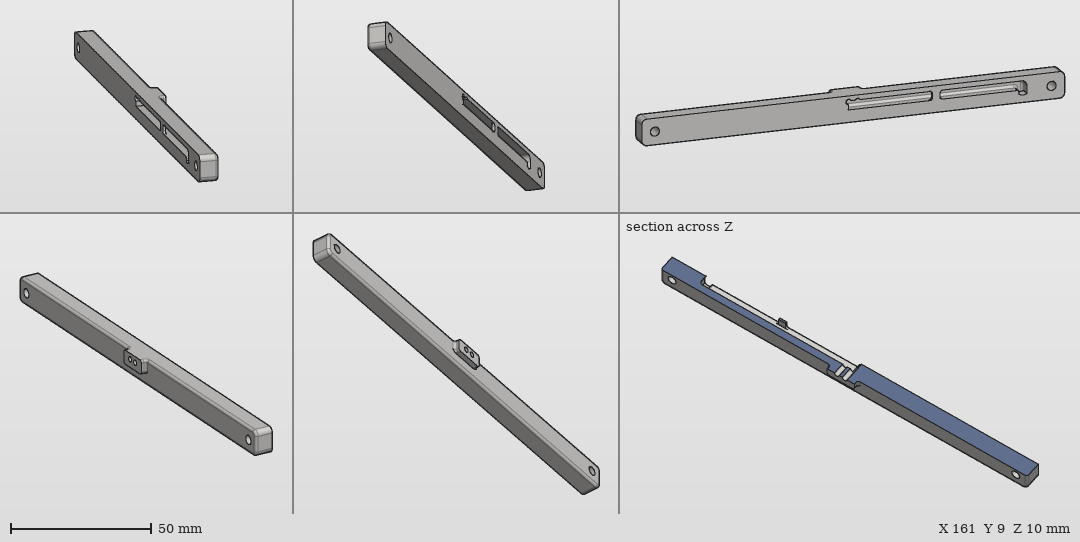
import cadquery as cq

BAR_LENGTH = 161.0
BAR_HEIGHT = 10.0
BAR_DEPTH = 7.0
CORNER_RADIUS = 2.0
BACK_FILLET = 1.0

TAB_WIDTH = 12.0
TAB_HEIGHT = 5.5
TAB_REACH = 2.0
TAB_ROOT_RADIUS = 1.0

SCREW_HOLE_DIAMETER = 3.4
SCREW_HOLE_INSET = 5.0

WIRE_HOLE_DIAMETER = 2.0
WIRE_HOLE_SPACING = 3.4
WIRE_HOLE_Z = 2.65

CHANNEL_WIDTH = 3.4
CHANNEL_DEPTH = 4.0
CHANNEL_Z = 1.45
CHANNEL_START_X = -1.8
CHANNEL_END_X = 66.1
OUTER_BEND_RADIUS = 2.0
INNER_BEND_RADIUS = 0.6
CHANNEL_FLOOR_FILLET = 1.0
LEG_WIDTH = 3.0
LEG_BOTTOM_Z = -2.2
LEG_END_BULGE = 0.5

STRAP_CENTER_X = 31.6
STRAP_WIDTH = 3.0
STRAP_DEPTH = 1.0
STRAP_CORNER_RADIUS = 0.9

PICK_MARGIN = 0.1

FRONT_Y = -(BAR_DEPTH + TAB_REACH) / 2
BACK_Y = FRONT_Y + BAR_DEPTH
TAB_Y = BACK_Y + TAB_REACH
TOP_Z = BAR_HEIGHT / 2
CHANNEL_TOP_Z = CHANNEL_Z + CHANNEL_WIDTH / 2
CHANNEL_BOTTOM_Z = CHANNEL_Z - CHANNEL_WIDTH / 2


def front_plane():
    """Workplane on the front face, with X to the right and Z up."""
    return cq.Workplane("XZ", origin=(0, FRONT_Y, 0))


def extrude_back(sketch, depth):
    """Extrude a sketch on the front face toward +Y."""
    return sketch.extrude(-depth)


def make_bar():
    """Bar with rounded ends and a filleted back outline."""
    bar = extrude_back(front_plane().rect(BAR_LENGTH, BAR_HEIGHT), BAR_DEPTH)
    bar = bar.edges("|Y").fillet(CORNER_RADIUS)
    return bar.faces(">Y").edges().fillet(BACK_FILLET)


def make_tab():
    """Tab with flared roots; its sides and roots are filleted above and below."""
    half_tab = TAB_WIDTH / 2
    half_flare = half_tab + TAB_ROOT_RADIUS
    half_base = half_flare + TAB_ROOT_RADIUS
    inner_y = FRONT_Y + CHANNEL_DEPTH
    root_y = BACK_Y + TAB_ROOT_RADIUS
    tab = (
        cq.Workplane("XY", origin=(0, 0, TOP_Z - TAB_HEIGHT))
        .moveTo(-half_base, inner_y)
        .lineTo(-half_base, BACK_Y)
        .lineTo(-half_flare, BACK_Y)
        .radiusArc((-half_tab, root_y), -TAB_ROOT_RADIUS)
        .lineTo(-half_tab, TAB_Y)
        .lineTo(half_tab, TAB_Y)
        .lineTo(half_tab, root_y)
        .radiusArc((half_flare, BACK_Y), -TAB_ROOT_RADIUS)
        .lineTo(half_base, BACK_Y)
        .lineTo(half_base, inner_y)
        .close()
        .extrude(TAB_HEIGHT)
    )
    inner_x = half_tab - PICK_MARGIN
    y_range = (BACK_Y - PICK_MARGIN, TAB_Y - PICK_MARGIN)
    left = cq.selectors.BoxSelector((-half_base, y_range[0], -TOP_Z), (-inner_x, y_range[1], BAR_HEIGHT))
    right = cq.selectors.BoxSelector((inner_x, y_range[0], -TOP_Z), (half_base, y_range[1], BAR_HEIGHT))
    return tab.faces("<Z or >Z").edges(left + right).fillet(BACK_FILLET)


def channel_cutter():
    """Channel with filleted floor edges, except at its two ends."""
    leg_x = CHANNEL_END_X - LEG_WIDTH
    leg_end_z = LEG_BOTTOM_Z + LEG_END_BULGE
    outline = (
        front_plane()
        .moveTo(CHANNEL_START_X, CHANNEL_TOP_Z)
        .lineTo(CHANNEL_END_X - OUTER_BEND_RADIUS, CHANNEL_TOP_Z)
        .radiusArc((CHANNEL_END_X, CHANNEL_TOP_Z - OUTER_BEND_RADIUS), OUTER_BEND_RADIUS)
        .lineTo(CHANNEL_END_X, leg_end_z)
        .threePointArc((CHANNEL_END_X - LEG_WIDTH / 2, LEG_BOTTOM_Z), (leg_x, leg_end_z))
        .lineTo(leg_x, CHANNEL_BOTTOM_Z - INNER_BEND_RADIUS)
        .radiusArc((leg_x - INNER_BEND_RADIUS, CHANNEL_BOTTOM_Z), -INNER_BEND_RADIUS)
        .lineTo(CHANNEL_START_X, CHANNEL_BOTTOM_Z)
        .close()
    )
    cutter = extrude_back(outline, CHANNEL_DEPTH)
    long_edges = cutter.faces(">Y").edges("not(<X)").edges("not(<Z)")
    return long_edges.fillet(CHANNEL_FLOOR_FILLET)


def wire_landing_cutter():
    """Clears the upper floor fillet between the two wire holes."""
    height = CHANNEL_TOP_Z - CHANNEL_Z
    landing = front_plane().center(0, CHANNEL_Z + height / 2).rect(WIRE_HOLE_SPACING, height)
    return extrude_back(landing, CHANNEL_DEPTH)


def add_strap(body):
    """Bridge the channel with a thin strap whose corners flare into the channel walls."""
    outline = front_plane().center(STRAP_CENTER_X, CHANNEL_Z).rect(STRAP_WIDTH, CHANNEL_WIDTH)
    body = body.union(extrude_back(outline, STRAP_DEPTH))
    half_width = STRAP_WIDTH / 2 + PICK_MARGIN
    corners = cq.selectors.BoxSelector(
        (STRAP_CENTER_X - half_width, FRONT_Y, CHANNEL_BOTTOM_Z - PICK_MARGIN),
        (STRAP_CENTER_X + half_width, FRONT_Y + STRAP_DEPTH, CHANNEL_TOP_Z + PICK_MARGIN),
    )
    return body.edges("|Y").edges(corners).fillet(STRAP_CORNER_RADIUS)


def hole_pair_cutter(spacing, z, diameter):
    """Two through holes along Y, placed evenly about the middle of the bar."""
    centers = [(-spacing / 2, z), (spacing / 2, z)]
    circles = front_plane().pushPoints(centers).circle(diameter / 2)
    return extrude_back(circles, BAR_DEPTH + TAB_REACH)


body = make_bar().union(make_tab())
body = body.cut(channel_cutter()).cut(wire_landing_cutter())
body = add_strap(body)
body = body.cut(hole_pair_cutter(BAR_LENGTH - 2 * SCREW_HOLE_INSET, 0, SCREW_HOLE_DIAMETER))
result = body.cut(hole_pair_cutter(WIRE_HOLE_SPACING, WIRE_HOLE_Z, WIRE_HOLE_DIAMETER))